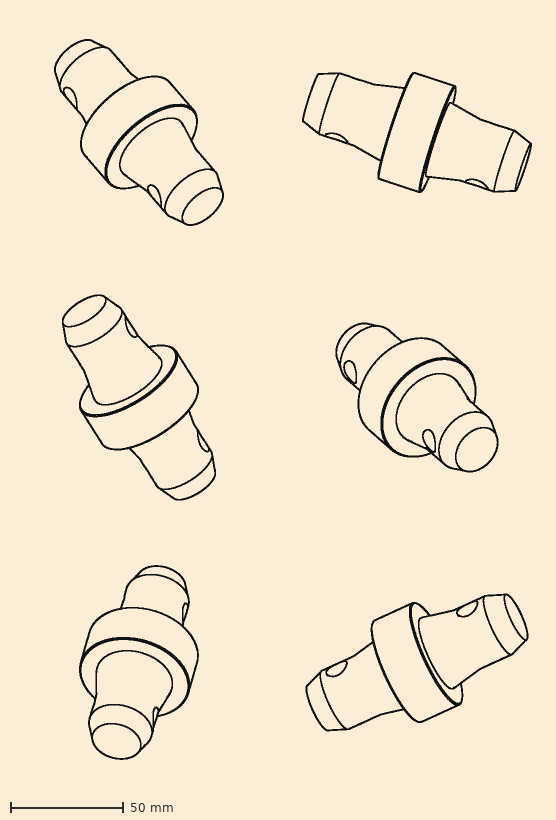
import cadquery as cq

length = 100.0
collar_diameter = 50.0
collar_width = 20.0
collar_chamfer = 0.5
shank_diameter = 28.8
tip_diameter = 22.2
tip_length = 8.8
cone_base_diameter = 34.6
land_length = 0.7
cone_length = 14.3
hole_diameter = 10.4
hole_offset = 33.0

half_length = length / 2
collar_face = collar_width / 2
cone_start = collar_face + land_length
cone_end = cone_start + cone_length


def turned_body():
    """Collar with a cone, shank and tapered tip on each side, turned as one solid."""
    right_outline = [
        (collar_face - collar_chamfer, collar_diameter / 2),
        (collar_face, collar_diameter / 2 - collar_chamfer),
        (collar_face, cone_base_diameter / 2),
        (cone_start, cone_base_diameter / 2),
        (cone_end, shank_diameter / 2),
        (half_length - tip_length, shank_diameter / 2),
        (half_length, tip_diameter / 2),
        (half_length, 0),
    ]
    left_outline = [(-x, radius) for x, radius in reversed(right_outline)]
    profile = cq.Workplane("XY").polyline(left_outline + right_outline).close()
    return profile.revolve(360, (0, 0, 0), (1, 0, 0))


def cross_holes():
    """Pin holes through both shanks, parallel to Y."""
    return (
        cq.Workplane("XZ")
        .pushPoints([(-hole_offset, 0), (hole_offset, 0)])
        .circle(hole_diameter / 2)
        .extrude(collar_diameter / 2, both=True)
    )


result = turned_body().cut(cross_holes())